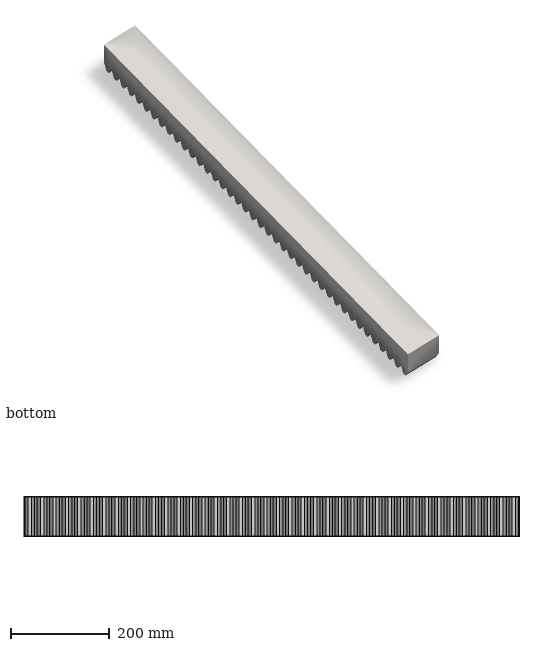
import cadquery as cq
import math

length = 1004.0
width = 80.0
height = 79.0

tooth_count = 40
end_trim = 0.6
pitch = (length + 2 * end_trim) / tooth_count

pressure_angle = math.radians(20)
dedendum_factor = 1.25
module = pitch / math.pi
addendum = module
dedendum = dedendum_factor * module

half_tip = pitch / 4 - addendum * math.tan(pressure_angle)
half_root = pitch / 4 + dedendum * math.tan(pressure_angle)

top_z = height / 2
tip_z = -height / 2
root_z = tip_z + addendum + dedendum


def tooth_points(center_x):
    """Corners of one tooth, from its left root to its right root."""
    return [
        (center_x - half_root, root_z),
        (center_x - half_tip, tip_z),
        (center_x + half_tip, tip_z),
        (center_x + half_root, root_z),
    ]


def rack_outline():
    """Corners of the rack seen along Y: end, row of teeth, other end."""
    first_tooth_x = -(tooth_count - 1) * pitch / 2
    points = [(-length / 2, top_z), (-length / 2, root_z)]
    for index in range(tooth_count):
        points += tooth_points(first_tooth_x + index * pitch)
    points += [(length / 2, root_z), (length / 2, top_z)]
    return points


result = cq.Workplane("XZ").polyline(rack_outline()).close().extrude(width / 2, both=True)